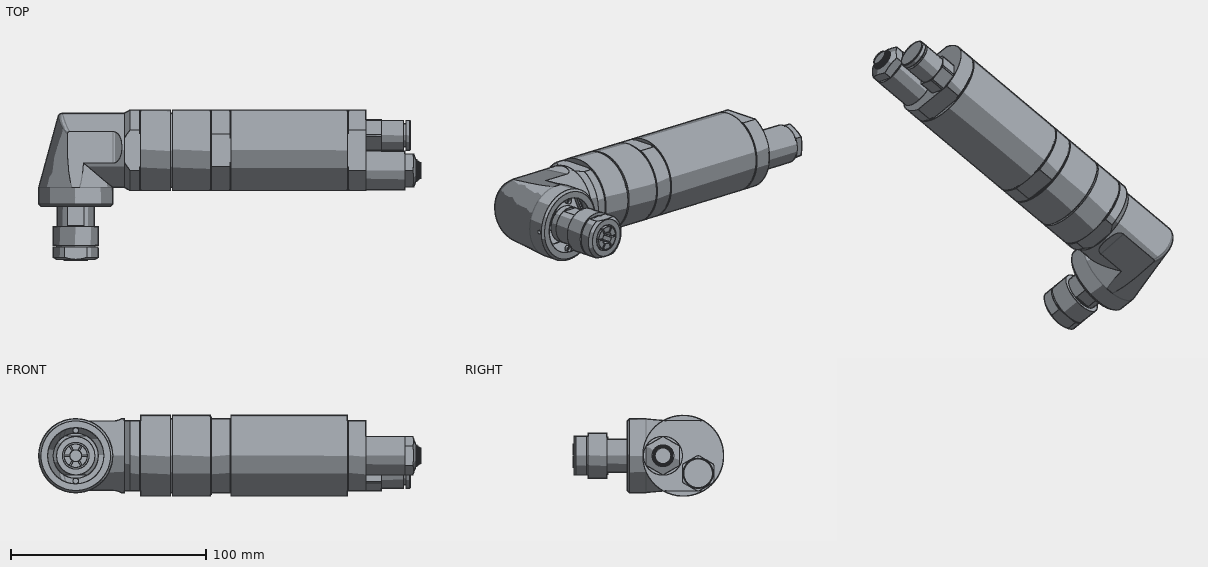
import cadquery as cq
import math


barrel_diameter = 41.5
barrel_radius = barrel_diameter / 2
groove_diameter = 38.0
groove_start = 48.5
groove_width = 1.0
relief_width = 0.5
relief_depth = 0.8
front_collar_start = 24.8
front_collar_taper = 3.0
front_collar_end = 33.2
wrench_neck_start = 69.5
wrench_neck_end = 79.4
rear_cap_start = 139.0
rear_cap_end = 148.4
collar_across_flats = 36.0
neck_across_flats = 38.0

head_diameter = 38.0
head_radius = head_diameter / 2
ring_start = -19.0
head_face = -28.7
ring_chamfer = 1.2
crown_half_length = 8.6
crown_half_height = 17.2
crown_fillet = 2.3
head_flat_height = 17.2
head_flat_draft = 5.0
head_flat_end = 19.0
head_flat_runout = 6.8
face_recess_diameter = 28.7
face_recess_depth = 0.2
spanner_hole_diameter = 3.0
spanner_hole_depth = 2.0
side_hole_diameter = 2.0
side_hole_depth = 2.0
side_hole_y = -26.0

exhaust_diameter = 20.0
exhaust_y = -10.4
exhaust_end = 168.3
exhaust_hex_end = 172.5
exhaust_hex_corners = 19.7
exhaust_cone_end = 174.0
tip_end = 176.5
tip_step_diameters = (11.1, 10.0, 9.0, 8.5, 8.0)

inlet_y = 7.6
inlet_z = -9.0
inlet_diameter = 15.5
inlet_hex_across_flats = 16.0
inlet_hex_corner_diameter = 18.0
inlet_hex_end = 156.4
inlet_body_end = 167.7
inlet_neck_diameter = 12.0
inlet_flange_start = 169.0
inlet_end = 171.3
inlet_flange_chamfer = 0.4

shaft_diameter = 19.0
shaft_across_flats = 17.0
shaft_flat_end = -38.5
shaft_seat_depth = 4.0
nut_diameter = 23.0
nut_start = -39.1
nut_collar_end = -48.7
nut_groove_diameter = 20.0
nut_groove_width = 0.8
nut_across_flats = 20.0
nut_end = -56.0
nut_chamfer_length = 1.2
nut_chamfer_depth = 1.8
nut_mouth_diameter = 13.7
nut_mouth_depth = 2.0

collet_diameter = 12.0
collet_bore_diameter = 6.0
collet_end = -56.5
collet_length = 11.7
collet_bore_depth = 9.8
collet_slit_width = 0.8
collet_slit_depth = 5.9
collet_slit_count = 3


def rod_x(diameter, x_start, x_end, y=0.0, z=0.0):
    """Round bar parallel to X."""
    return (
        cq.Workplane("YZ", origin=(x_start, y, z))
        .circle(diameter / 2)
        .extrude(x_end - x_start)
    )


def rod_y(diameter, y_start, y_end, x=0.0, z=0.0):
    """Round bar running toward -Y from y_start to y_end."""
    return (
        cq.Workplane("XZ", origin=(x, y_start, z))
        .circle(diameter / 2)
        .extrude(y_start - y_end)
    )


def block(x_range, y_range, z_range):
    """Box given by its limits along X, Y and Z."""
    limits = (x_range, y_range, z_range)
    sizes = [high - low for low, high in limits]
    return cq.Workplane("XY", origin=[low for low, high in limits]).box(*sizes, centered=False)


def hex_x(across_corners, x_start, x_end, y, z):
    """Hexagonal bar parallel to X with one corner pointing up."""
    return (
        cq.Workplane("YZ", origin=(x_start, y, z))
        .transformed(rotate=(0, 0, 90))
        .polygon(6, across_corners)
        .extrude(x_end - x_start)
    )


def revolve_x(points, y=0.0):
    """Solid turned about an axis parallel to X from (x, radius) points."""
    profile = cq.Workplane("XY", origin=(0, y, 0)).polyline(points).close()
    return profile.revolve(360, (0, 0, 0), (1, 0, 0))


def turned_groove(x_start, width, floor_diameter):
    """Ring-shaped cutter for a groove around the barrel."""
    ring = rod_x(2 * barrel_diameter, x_start, x_start + width)
    return ring.cut(rod_x(floor_diameter, x_start, x_start + width))


def level_flats(body, x_range, across_flats):
    """Trim a stretch of the barrel to a pair of level wrench flats."""
    half = across_flats / 2
    for z_range in ((half, barrel_diameter), (-barrel_diameter, -half)):
        body = body.cut(block(x_range, (-barrel_diameter, barrel_diameter), z_range))
    return body


def make_barrel():
    taper_end = front_collar_start + front_collar_taper
    barrel = revolve_x([
        (front_collar_start, 0),
        (front_collar_start, head_radius),
        (taper_end, barrel_radius),
        (rear_cap_end, barrel_radius),
        (rear_cap_end, 0),
    ])
    barrel = barrel.cut(turned_groove(groove_start, groove_width, groove_diameter))
    relief_floor = barrel_diameter - 2 * relief_depth
    relief_starts = (
        front_collar_end - relief_width,
        wrench_neck_start - relief_width,
        wrench_neck_end - relief_width,
        rear_cap_start,
    )
    for x_start in relief_starts:
        barrel = barrel.cut(turned_groove(x_start, relief_width, relief_floor))
    barrel = level_flats(barrel, (front_collar_start, front_collar_end), collar_across_flats)
    barrel = level_flats(barrel, (wrench_neck_start, wrench_neck_end), neck_across_flats)
    return level_flats(barrel, (rear_cap_start, rear_cap_end), collar_across_flats)


def make_drafted_flat_cutter():
    """Cutter for the upper head flat, with a concave run-out at its motor end."""
    rise = head_flat_runout
    runout_middle = rise * math.sqrt(0.5)
    cutter = (
        cq.Workplane("XZ")
        .moveTo(-barrel_diameter, 0)
        .lineTo(head_flat_end, 0)
        .threePointArc(
            (head_flat_end + runout_middle, rise - runout_middle),
            (head_flat_end + rise, rise),
        )
        .lineTo(-barrel_diameter, rise)
        .close()
        .extrude(barrel_diameter, both=True)
        .rotate((0, 0, 0), (1, 0, 0), -head_flat_draft)
        .translate((0, 0, head_flat_height))
    )
    return cutter.intersect(
        block(
            (-barrel_diameter, front_collar_start),
            (ring_start, barrel_diameter),
            (0, barrel_diameter),
        )
    )


def make_head():
    nose = (
        cq.Workplane("XZ", origin=(0, ring_start, 0))
        .ellipse(head_radius, head_radius)
        .workplane(offset=ring_start - head_radius)
        .ellipse(crown_half_length, crown_half_height)
        .loft(ruled=True)
    )
    nose_front = nose.intersect(
        block((-head_radius, head_radius), (ring_start, 0), (-head_radius, head_radius))
    )
    arm_trim = nose.union(
        block((0, front_collar_start), (-head_radius, head_radius), (-head_radius, head_radius))
    )
    arm = rod_x(head_diameter, -head_radius, front_collar_start).intersect(arm_trim)
    crown_corner = (-crown_half_length, head_radius, 0)
    head = nose_front.union(arm)
    head = head.edges(cq.NearestToPointSelector(crown_corner)).fillet(crown_fillet)
    flat_cutter = make_drafted_flat_cutter()
    head = head.cut(flat_cutter).cut(flat_cutter.mirror("XY"))
    ring = rod_y(head_diameter, ring_start, head_face).faces("<Y").chamfer(ring_chamfer)
    return head.union(ring)


def cut_head_face(body):
    """Face recess, spanner holes, side hole and the spindle seat."""
    recess_floor = head_face + face_recess_depth
    body = body.cut(rod_y(face_recess_diameter, recess_floor, head_face))
    spanner_hole_offset = (face_recess_diameter - spanner_hole_diameter) / 2
    for side in (1, -1):
        hole_floor = recess_floor + spanner_hole_depth
        body = body.cut(
            rod_y(spanner_hole_diameter, hole_floor, head_face, z=side * spanner_hole_offset)
        )
    side_hole_floor = side_hole_depth - head_radius
    body = body.cut(rod_x(side_hole_diameter, -head_radius, side_hole_floor, side_hole_y))
    return body.cut(rod_y(shaft_diameter, head_face + shaft_seat_depth, head_face))


def make_exhaust():
    tube = rod_x(exhaust_diameter, rear_cap_end, exhaust_end, exhaust_y)
    hexagon = hex_x(exhaust_hex_corners, exhaust_end, exhaust_hex_end, exhaust_y, 0)
    cone = revolve_x(
        [
            (exhaust_hex_end, 0),
            (exhaust_hex_end, exhaust_hex_corners / 2),
            (exhaust_cone_end, tip_step_diameters[0] / 2),
            (exhaust_cone_end, 0),
        ],
        exhaust_y,
    )
    hexagon_extension = hex_x(exhaust_hex_corners, exhaust_hex_end, tip_end, exhaust_y, 0)
    exhaust = tube.union(hexagon).union(cone.intersect(hexagon_extension))
    step_length = (tip_end - exhaust_cone_end) / len(tip_step_diameters)
    for index, diameter in enumerate(tip_step_diameters):
        step_start = exhaust_cone_end + index * step_length
        exhaust = exhaust.union(rod_x(diameter, step_start, step_start + step_length, exhaust_y))
    return exhaust


def make_inlet():
    corners = inlet_hex_across_flats / math.cos(math.radians(30))
    hexagon = hex_x(corners, rear_cap_end, inlet_hex_end, inlet_y, inlet_z).intersect(
        rod_x(inlet_hex_corner_diameter, rear_cap_end, inlet_hex_end, inlet_y, inlet_z)
    )
    body = rod_x(inlet_diameter, inlet_hex_end, inlet_body_end, inlet_y, inlet_z)
    neck = rod_x(inlet_neck_diameter, inlet_body_end, inlet_flange_start, inlet_y, inlet_z)
    flange = rod_x(inlet_diameter, inlet_flange_start, inlet_end, inlet_y, inlet_z)
    flange = flange.faces(">X").chamfer(inlet_flange_chamfer)
    return hexagon.union(body).union(neck).union(flange)


def make_housing():
    housing = make_barrel().union(make_head())
    housing = housing.union(make_exhaust()).union(make_inlet())
    return cut_head_face(housing)


def trim_spindle_flats(body, y_range, across_flats):
    half = across_flats / 2
    for z_range in ((half, nut_diameter), (-nut_diameter, -half)):
        body = body.cut(block((-nut_diameter, nut_diameter), y_range, z_range))
    return body


def make_spindle():
    shaft = rod_y(shaft_diameter, head_face + shaft_seat_depth, nut_start)
    shaft = trim_spindle_flats(shaft, (shaft_flat_end, head_face), shaft_across_flats)
    nut_front_start = nut_collar_end - nut_groove_width
    collar = rod_y(nut_diameter, nut_start, nut_collar_end)
    groove_core = rod_y(nut_groove_diameter, nut_collar_end, nut_front_start)
    nut_front = (
        rod_y(nut_diameter, nut_front_start, nut_end)
        .faces("<Y")
        .chamfer(nut_chamfer_length, nut_chamfer_depth)
    )
    nut_front = trim_spindle_flats(nut_front, (nut_end, nut_front_start), nut_across_flats)
    spindle = shaft.union(collar).union(groove_core).union(nut_front)
    spindle = spindle.cut(rod_y(collet_diameter, collet_end + collet_length, nut_end))
    return spindle.cut(rod_y(nut_mouth_diameter, nut_end + nut_mouth_depth, nut_end))


def make_collet():
    collet = rod_y(collet_diameter, collet_end + collet_length, collet_end)
    collet = collet.cut(rod_y(collet_bore_diameter, collet_end + collet_bore_depth, collet_end))
    slit = block(
        (-collet_diameter, collet_diameter),
        (collet_end, collet_end + collet_slit_depth),
        (-collet_slit_width / 2, collet_slit_width / 2),
    )
    for index in range(collet_slit_count):
        collet = collet.cut(slit.rotate((0, 0, 0), (0, 1, 0), index * 180 / collet_slit_count))
    return collet


housing = make_housing()
spindle = make_spindle()
collet = make_collet()

result = cq.Compound.makeCompound([housing.val(), spindle.val(), collet.val()])